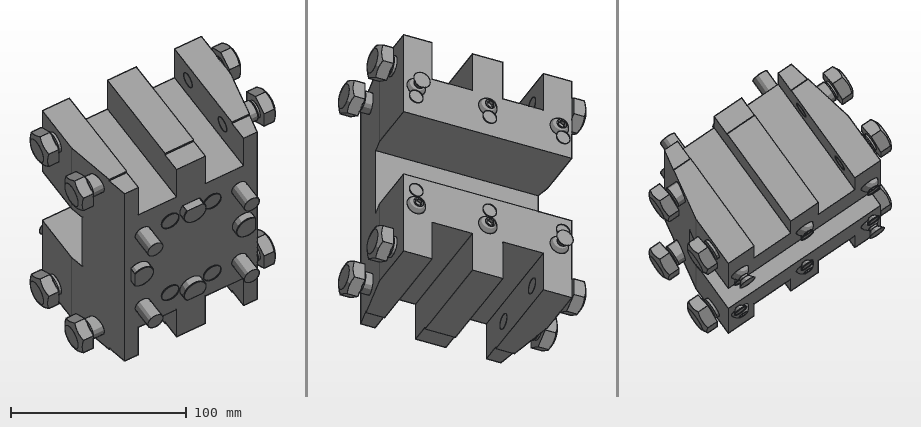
import cadquery as cq
import math

block_length = 75.8
block_height = 152.0
half_width = 52.9
back_half_width = 44.1
taper_start_x = 32.0
shoulder_x = 63.1
shoulder_step = 1.2

channel_depth = 40.9
channel_height = 43.8
slot_depth = 25.7
slot_inner_y = 9.5
slot_outer_y = 35.0
slot_width = slot_outer_y - slot_inner_y

bolt_xs = (14.9, 52.9)
bolt_z = 63.5
bolt_tip_y = slot_outer_y - 0.2
bolt_tip_radius = 4.7
bolt_tip_length = 0.8
bolt_shank_radius = 6.2
bolt_neck_radius = 5.5
bolt_neck_start_y = 54.5
bolt_neck_taper = 0.9
bolt_head_y = 56.7
bolt_end_y = 65.5
bolt_across_flats = 19.2
bolt_face_radius = 7.3
bolt_chamfer_angle = 30.0

button_y = 45.0
button_z = 41.5
button_radius = 5.8
button_tip_radius = 3.0
button_height = 3.5
socket_across_flats = 4.1
socket_depth = 2.3

long_screw_height = 7.8
long_screw_radius = 5.2
long_screw_neck_radius = 2.9
long_screw_cone_height = 2.9

small_screw_y = 46.2
small_screw_z = 32.8
small_screw_height = 2.9
small_screw_radius = 4.3
small_screw_rim = 0.5
small_screw_base_radius = 1.8

pin_offset = 32.0
pin_radius = 5.0
pin_length = 14.0
disc_y = 14.0
disc_radius = 5.8
disc_height = 0.6
pad_radius = 7.5
pad_flat_width = 11.0
pad_outer = 40.0
pad_height = 4.7
pad_chamfer = 0.3

root = 0.8


def turned(points):
    """Solid of revolution about Z from (radius, height) points; both end points lie on the axis."""
    return cq.Workplane("XZ").polyline(points).close().revolve(360, (0, 0), (0, 1))


def on_left(part, y, z):
    """Turn a part built along +Z to point along -X and stand it on the -X face."""
    return part.rotate((0, 0, 0), (0, 1, 0), -90).translate((0, y, z))


def on_right(part, y, z):
    """Turn a part built along +Z to point along +X and stand it on the +X face."""
    return part.rotate((0, 0, 0), (0, 1, 0), 90).translate((block_length, y, z))


def hexagon(across_flats, height):
    corner_diameter = across_flats / math.cos(math.pi / 6)
    return cq.Workplane("XY").polygon(6, corner_diameter).extrude(height)


def make_block():
    plan = [
        (0, -half_width),
        (taper_start_x, -half_width),
        (block_length, -back_half_width),
        (block_length, back_half_width),
        (taper_start_x, half_width),
        (0, half_width),
    ]
    block = cq.Workplane("XY").polyline(plan).close().extrude(block_height / 2, both=True)
    block = block.cut(cq.Workplane("XY").box(2 * channel_depth, 2 * half_width, channel_height))
    for side in (-1, 1):
        step = cq.Workplane("XY").box(
            block_length - shoulder_x, 2 * half_width, 2 * shoulder_step
        )
        block = block.cut(step.translate(((block_length + shoulder_x) / 2, 0, side * block_height / 2)))
        for slot_side in (-1, 1):
            slot_y = slot_side * (slot_inner_y + slot_outer_y) / 2
            slot = cq.Workplane("XY").box(2 * block_length, slot_width, 2 * slot_depth)
            block = block.cut(slot.translate((0, slot_y, side * block_height / 2)))
    return block


def make_bolt():
    """Hex bolt pointing along +Z; its heights are distances from the mid-plane of the block."""
    shank = turned([
        (0, bolt_tip_y),
        (bolt_tip_radius, bolt_tip_y),
        (bolt_tip_radius, bolt_tip_y + bolt_tip_length),
        (bolt_shank_radius, bolt_tip_y + bolt_tip_length),
        (bolt_shank_radius, bolt_neck_start_y),
        (bolt_neck_radius, bolt_neck_start_y + bolt_neck_taper),
        (bolt_neck_radius, bolt_head_y),
        (0, bolt_head_y),
    ])
    cone_radius = bolt_across_flats
    cone_drop = (cone_radius - bolt_face_radius) * math.tan(math.radians(bolt_chamfer_angle))
    cone = turned([
        (0, bolt_end_y),
        (bolt_face_radius, bolt_end_y),
        (cone_radius, bolt_end_y - cone_drop),
        (cone_radius, bolt_head_y),
        (0, bolt_head_y),
    ])
    head = hexagon(bolt_across_flats, bolt_end_y - bolt_head_y).translate((0, 0, bolt_head_y))
    return head.intersect(cone).union(shank).rotate((0, 0, 0), (0, 0, 1), 90)


def make_button_head():
    sphere_depth = (button_radius**2 - button_tip_radius**2 - button_height**2) / (2 * button_height)
    sphere_radius = math.hypot(button_radius, sphere_depth)
    ball = cq.Workplane("XY").sphere(sphere_radius).translate((0, 0, -sphere_depth))
    stem = cq.Workplane("XY").circle(button_radius).extrude(button_height + root).translate((0, 0, -root))
    return stem.intersect(ball)


def make_socket():
    return hexagon(socket_across_flats, socket_depth).translate((0, 0, button_height - socket_depth))


def make_long_screw():
    return turned([
        (0, 0),
        (long_screw_neck_radius, 0),
        (long_screw_neck_radius, long_screw_height - long_screw_cone_height),
        (long_screw_radius, long_screw_height),
        (0, long_screw_height),
    ])


def make_small_screw():
    return turned([
        (0, -root),
        (small_screw_base_radius, -root),
        (small_screw_base_radius, 0),
        (small_screw_radius, small_screw_height - small_screw_rim),
        (small_screw_radius, small_screw_height),
        (0, small_screw_height),
    ])


def make_stud(radius, height):
    return cq.Workplane("XY").circle(radius).extrude(height + root).translate((0, 0, -root))


def make_pad():
    """Round pad along +Z with its outermost side, towards +Y, cut off flat."""
    flat_distance = math.sqrt(pad_radius**2 - (pad_flat_width / 2) ** 2)
    outside = cq.Workplane("XY").box(4 * pad_radius, 2 * pad_radius, 4 * pad_height)
    pad = make_stud(pad_radius, pad_height).faces(">Z").chamfer(pad_chamfer)
    pad = pad.cut(outside.translate((0, flat_distance + pad_radius, 0)))
    return pad.translate((0, pad_outer - flat_distance, 0))


result = make_block()

for bolt_x in bolt_xs:
    for z in (-bolt_z, bolt_z):
        for turn in (-90, 90):
            bolt = make_bolt().rotate((0, 0, 0), (1, 0, 0), turn)
            result = result.union(bolt.translate((bolt_x, 0, z)))

for side in (-1, 1):
    for column in (-1, 0, 1):
        y = column * button_y
        z = side * button_z
        result = result.union(on_left(make_button_head(), y, z))
        if column == side:
            result = result.union(on_left(make_long_screw(), y, z))
        else:
            result = result.cut(on_left(make_socket(), y, z))
        small_screw = on_left(make_small_screw(), column * small_screw_y, side * small_screw_z)
        result = result.union(small_screw)

for y_side in (-1, 1):
    for z_side in (-1, 1):
        z = z_side * pin_offset
        result = result.union(on_right(make_stud(pin_radius, pin_length), y_side * pin_offset, z))
        result = result.union(on_right(make_stud(disc_radius, disc_height), y_side * disc_y, z))

for quarter in range(4):
    pad = make_pad().rotate((0, 0, 0), (0, 0, 1), 90 * quarter)
    result = result.union(on_right(pad, 0, 0))